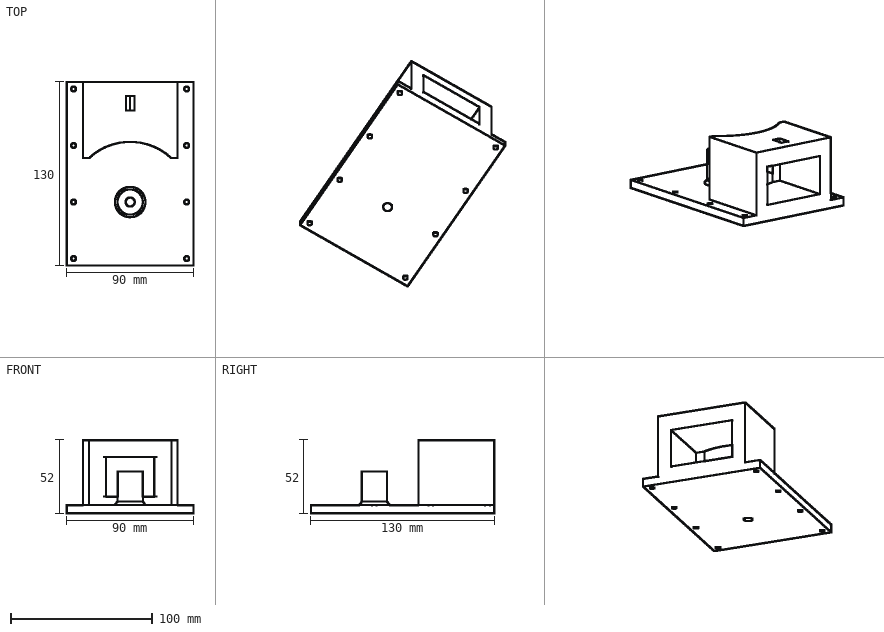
import cadquery as cq
import math

plate_width = 90.0
plate_length = 130
plate_thickness = 6.0
total_height = 52

mount_hole_diameter = 3.2
mount_hole_inset = 5.0
mount_holes_per_side = 4
mount_hole_pitch = (plate_length - 2 * mount_hole_inset) / (mount_holes_per_side - 1)

housing_width = 67.1
housing_length = 54.0
housing_height = total_height - plate_thickness
housing_rear = plate_length / 2
housing_front = housing_rear - housing_length

side_wall = 10.0
cavity_front_margin = 8.0
cavity_width = housing_width - 2 * side_wall
cavity_length = housing_length - cavity_front_margin
cavity_height = 28.0
cavity_floor = 2 * plate_thickness

slot_width = 6.0
slot_length = 10.0
slot_rear_margin = 10.0
slot_wall_depth = 8.3
slot_floor_angle = 30

post_y = -plate_length / 2 + mount_hole_inset + mount_hole_pitch
post_diameter = 18.0
post_height = 23.9
post_bore_diameter = 6.2
post_flare_width = 1.8
post_flare_height = 2.5

clearance_radius = 42.6


def make_plate():
    first_hole_y = -plate_length / 2 + mount_hole_inset
    hole_x = plate_width / 2 - mount_hole_inset
    hole_points = [
        (side * hole_x, first_hole_y + row * mount_hole_pitch)
        for side in (-1, 1)
        for row in range(mount_holes_per_side)
    ]
    plate = cq.Workplane("XY").box(plate_width, plate_length, plate_thickness, centered=(True, True, False))
    return plate.faces(">Z").workplane().pushPoints(hole_points).hole(mount_hole_diameter)


def make_roof_slot():
    """Slot profile in XZ, with the two floor faces meeting at the centre."""
    half_width = slot_width / 2
    wall_bottom = total_height - slot_wall_depth
    floor_bottom = wall_bottom - half_width * math.tan(math.radians(slot_floor_angle))
    slot_rear = housing_rear - slot_rear_margin
    return (
        cq.Workplane("XZ", origin=(0, slot_rear, 0))
        .moveTo(-half_width, total_height)
        .lineTo(half_width, total_height)
        .lineTo(half_width, wall_bottom)
        .lineTo(0, floor_bottom)
        .lineTo(-half_width, wall_bottom)
        .close()
        .extrude(slot_length)
    )


def make_housing():
    housing_center_y = (housing_front + housing_rear) / 2
    housing = (
        cq.Workplane("XY", origin=(0, housing_center_y, plate_thickness))
        .box(housing_width, housing_length, housing_height, centered=(True, True, False))
    )
    clearance = (
        cq.Workplane("XY", origin=(0, post_y, plate_thickness))
        .circle(clearance_radius)
        .extrude(housing_height)
    )
    cavity = (
        cq.Workplane("XY", origin=(0, housing_rear - cavity_length / 2, cavity_floor))
        .box(cavity_width, cavity_length, cavity_height, centered=(True, True, False))
    )
    return housing.cut(clearance).cut(cavity).cut(make_roof_slot())


def make_post():
    """Post with a conical flare at its foot, revolved about its own axis."""
    radius = post_diameter / 2
    return (
        cq.Workplane("XZ", origin=(0, post_y, plate_thickness))
        .polyline([
            (0, 0),
            (radius + post_flare_width, 0),
            (radius, post_flare_height),
            (radius, post_height),
            (0, post_height),
        ])
        .close()
        .revolve(360, (0, 0), (0, 1))
    )


post_bore = (
    cq.Workplane("XY", origin=(0, post_y, 0))
    .circle(post_bore_diameter / 2)
    .extrude(plate_thickness + post_height)
)

result = make_plate().union(make_housing()).union(make_post()).cut(post_bore)